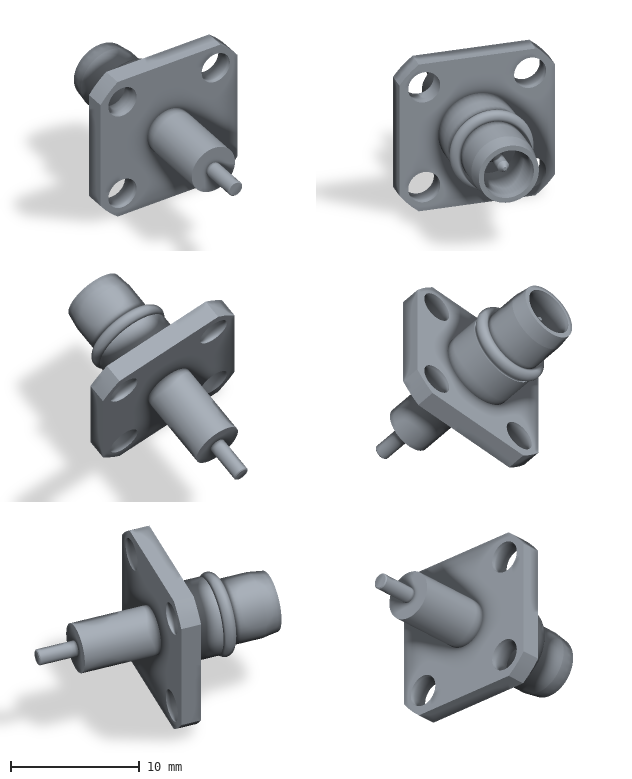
import cadquery as cq


total_length = 19.45
nose_length = 1.3
shoulder_x = 5.12
flange_x = 8.23
flange_thickness = 1.65
sleeve_end_x = 16.25
flange_end_x = flange_x + flange_thickness

mouth_radius = 2.45
barrel_radius = 2.65
shoulder_radius = 3.17
sleeve_radius = 2.0
tail_radius = 0.65
tail_chamfer = 0.08

socket_radius = 2.05
socket_depth = 4.67
base_radius = 0.88
base_chamfer = 0.1
base_length = 0.58
contact_radius = 0.47
contact_tip_radius = 0.15
contact_tip_x = 0.97
contact_taper_length = 0.49

flange_side = 12.7
flange_corner_radius = 7.94
mount_hole_diameter = 2.6
mount_hole_spacing = 8.64

ring_x = 4.5
ring_outer_radius = 3.4
ring_section_radius = 0.5
ring_center_radius = ring_outer_radius - ring_section_radius


def revolve_about_x(profile):
    """Turn (x, radius) points into a solid of revolution about X."""
    return cq.Workplane("XY").polyline(profile).close().revolve(360, (0, 0, 0), (1, 0, 0))


def make_turned_shape():
    """Barrel, shoulder, rear sleeve and tail, with the socket and center contact."""
    base_x = socket_depth - base_length
    return revolve_about_x([
        (contact_tip_x, 0),
        (contact_tip_x, contact_tip_radius),
        (contact_tip_x + contact_taper_length, contact_radius),
        (base_x, contact_radius),
        (base_x, base_radius - base_chamfer),
        (base_x + base_chamfer, base_radius),
        (socket_depth, base_radius),
        (socket_depth, socket_radius),
        (0, socket_radius),
        (0, mouth_radius),
        (nose_length, barrel_radius),
        (shoulder_x, barrel_radius),
        (shoulder_x, shoulder_radius),
        (flange_end_x, shoulder_radius),
        (flange_end_x, sleeve_radius),
        (sleeve_end_x, sleeve_radius),
        (sleeve_end_x, tail_radius),
        (total_length - tail_chamfer, tail_radius),
        (total_length, tail_radius - tail_chamfer),
        (total_length, 0),
    ])


def make_flange():
    """Square plate with its corners turned to a round and four mounting holes."""
    plate = (
        cq.Workplane("YZ", origin=(flange_x, 0, 0))
        .rect(flange_side, flange_side)
        .extrude(flange_thickness)
    )
    turned_disc = (
        cq.Workplane("YZ", origin=(flange_x, 0, 0))
        .circle(flange_corner_radius)
        .extrude(flange_thickness)
    )
    holes = (
        cq.Workplane("YZ", origin=(flange_x, 0, 0))
        .rect(mount_hole_spacing, mount_hole_spacing, forConstruction=True)
        .vertices()
        .circle(mount_hole_diameter / 2)
        .extrude(flange_thickness)
    )
    return plate.intersect(turned_disc).cut(holes)


def make_sealing_ring():
    """Round-section ring centered on the X axis."""
    return (
        cq.Workplane("XY")
        .center(ring_x, ring_center_radius)
        .circle(ring_section_radius)
        .revolve(360, (0, -ring_center_radius, 0), (1, -ring_center_radius, 0))
    )


def make_housing(ring):
    """Turned shape and flange, with a groove that seats the sealing ring."""
    return make_turned_shape().union(make_flange()).cut(ring)


sealing_ring = make_sealing_ring()
housing = make_housing(sealing_ring)

result = cq.Compound.makeCompound([housing.val(), sealing_ring.val()])